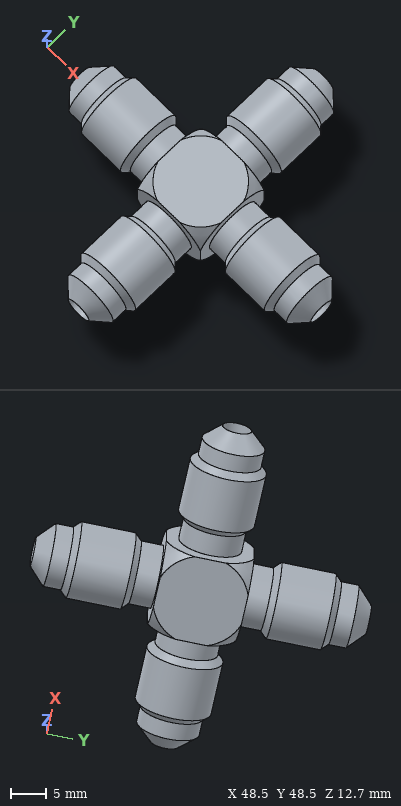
import cadquery as cq

span = 48.55
half_span = span / 2

block_side = 12.7
corner_sphere_radius = 9.25

bore_radius = 2.1
stem_radius = 4.55
thread_radius = 5.55
thread_chamfer = thread_radius - stem_radius

nose_cone_length = 2.4
thread_outer_setback = 4.9
thread_inner_setback = 14.7

arm_angles = (0, 90, 180, 270)


def make_block():
    cube = cq.Workplane("XY").box(block_side, block_side, block_side)
    return cube.intersect(cq.Workplane("XY").sphere(corner_sphere_radius))


def make_arm():
    """Arm along +X, revolved from the centre of the block to its tip."""
    nose_base = half_span - nose_cone_length
    thread_outer = half_span - thread_outer_setback
    thread_inner = half_span - thread_inner_setback
    profile = [
        (0, 0),
        (0, stem_radius),
        (thread_inner, stem_radius),
        (thread_inner + thread_chamfer, thread_radius),
        (thread_outer - thread_chamfer, thread_radius),
        (thread_outer, stem_radius),
        (nose_base, stem_radius),
        (half_span, bore_radius),
        (half_span, 0),
    ]
    return cq.Workplane("XY").polyline(profile).close().revolve(360, (0, 0, 0), (1, 0, 0))


def make_bore(plane):
    """Bore running the full span through the block."""
    return cq.Workplane(plane).circle(bore_radius).extrude(half_span, both=True)


result = make_block()
arm = make_arm()
for angle in arm_angles:
    result = result.union(arm.rotate((0, 0, 0), (0, 0, 1), angle))
for bore_plane in ("YZ", "XZ"):
    result = result.cut(make_bore(bore_plane))